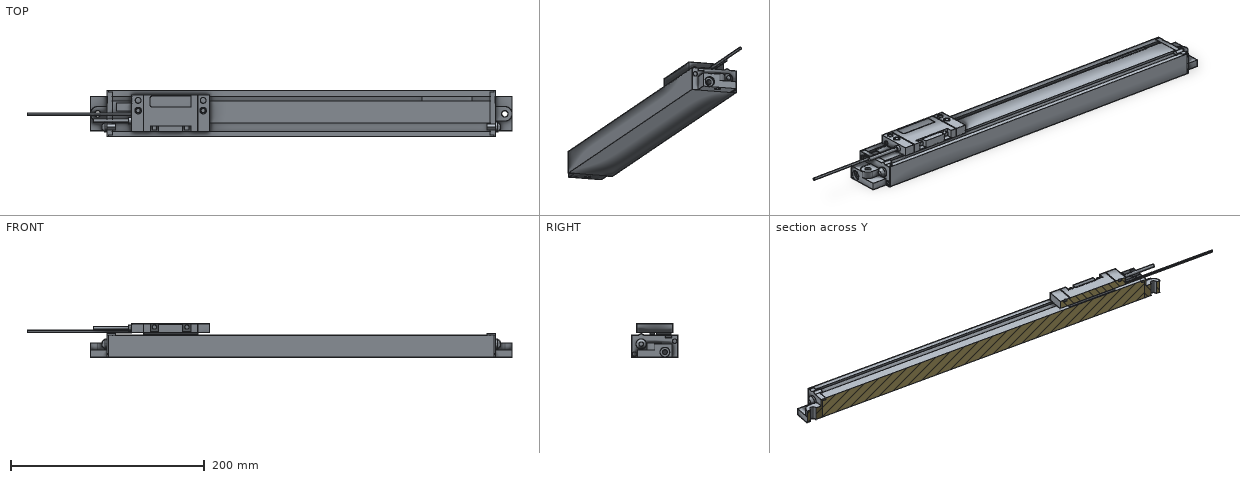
import cadquery as cq

total_length = 500.0
bracket_start = 65.0
cap_start = 82.0
cap_thickness = 1.5
cap_end = total_length - (cap_start - bracket_start)
rail_start = cap_start + cap_thickness
rail_end = cap_end - cap_thickness
mid_x = (bracket_start + total_length) / 2

rail_width = 47.9
rail_height = 23.0
rear_groove_y = (12.9, 17.3)
rear_groove_depth = 2.5
filler_x = (407.0, 458.5)
filler_depth = 1.0
front_groove_y = (-18.7, -9.8)
front_groove_depth = 2.5

lip_length = 4.2
lip_depth = 2.0
lip_width = 44.0
hook_y = (-17.0, -11.0)
hook_length = 9.0
hook_height = 1.7
knob_y = -14.0
knob_z = 13.8
knob_radius = 5.3
knob_length = 5.0
knob_chamfer = 3.0
cap_screw_radius = 2.3
cap_screw_depth = 1.0
cap_notch_y = (11.0, 17.3)
cap_notch_base = 20.0
cap_notch_depth = 0.5
cap_screws = [(20.5, 16.7), (-20.8, 3.5)]

bracket_y = (-18.0, 17.6)
plate_height = 7.5
block_height = 14.0
boss_height = 15.0
boss_y = -0.4
boss_radius = 7.5
bolt_hole_radius = 3.2
side_hole_y = 10.5
side_hole_z = 5.5
side_hole_radius = 2.5
side_seat_radius = 5.0
side_seat_depth = 3.0

slider_x = (107.5, 188.0)
slider_y = (-18.8, 18.8)
slider_base = 25.7
slider_top = 35.0
end_block_length = 12.2
seam_width = 0.4
skirt_x = (120.0, 176.0)
skirt_pads_y = [(-5.0, -0.2), (1.6, 17.0)]
skirt_base = 23.2
label_x = (126.5, 168.5)
label_y = (6.8, 17.8)
label_depth = 0.3
label_corner = 2.0
window_x = (127.0, 169.0)
window_depth = 6.0
window_floor = 26.8
window_block_x = (135.0, 160.0)
window_block_drop = 1.0
window_screw_radius = 2.2
window_screw_length = 4.0
window_screw_z = 31.3
fixing_inset = 6.7
small_screw_y = 13.5
small_screw_radius = 3.0
small_screw_depth = 1.0
large_screw_y = 3.0
large_screw_radius = 3.4
large_screw_depth = 2.5
large_screw_bore = 2.2

cable_radius = 1.25
cable_y = -0.6
cable_z = 26.9
sleeve_start = 68.0
sleeve_radius = 1.7
sleeve_y = -7.6
sleeve_z = 30.3
collar_length = 3.0
collar_radius = 3.2
plug_x = 92.0
plug_y = (2.3, 11.0)
plug_z = (25.2, 26.2)
socket_y = 12.6
socket_z = 28.2
socket_radius = 2.2
socket_depth = 1.0


def block(x, y, z):
    """A box given by its limits along each axis."""
    return cq.Workplane("XY").box(
        x[1] - x[0], y[1] - y[0], z[1] - z[0], centered=False
    ).translate((x[0], y[0], z[0]))


def rod_along_x(start, end, y, z, radius):
    """A round bar lying along X."""
    return cq.Workplane("YZ", origin=(start, y, z)).circle(radius).extrude(end - start)


def make_lip():
    """The shelf of the first end cap that is let into the top of the rail."""
    return block(
        (rail_start, rail_start + lip_length),
        (-lip_width / 2, lip_width / 2),
        (rail_height - lip_depth, rail_height),
    )


def make_hook():
    """The ridge on the first end cap that reaches over and into the front groove."""
    middle_y = sum(hook_y) / 2
    profile = [
        (hook_y[0], rail_height - front_groove_depth),
        (hook_y[1], rail_height - front_groove_depth),
        (hook_y[1], rail_height),
        (middle_y, rail_height + hook_height),
        (hook_y[0], rail_height),
    ]
    return cq.Workplane("YZ", origin=(cap_start, 0, 0)).polyline(profile).close().extrude(hook_length)


def at_far_end(first_end_shape):
    """The mirror image of a shape of the first end, at the other end of the rail."""
    return first_end_shape.mirror("YZ", (mid_x, 0, 0))


def make_rail():
    full_length = (rail_start, rail_end)
    rail = block(full_length, (-rail_width / 2, rail_width / 2), (0, rail_height))
    groove_floor = rail_height - rear_groove_depth
    rail = rail.cut(block(full_length, rear_groove_y, (groove_floor, rail_height)))
    rail = rail.union(block(filler_x, rear_groove_y, (groove_floor, rail_height - filler_depth)))
    rail = rail.cut(block(full_length, front_groove_y, (rail_height - front_groove_depth, rail_height)))
    for socket in (make_lip(), make_hook()):
        rail = rail.cut(socket).cut(at_far_end(socket))
    return rail


def make_bracket():
    depth = (bracket_start, cap_start)
    bracket = block(depth, bracket_y, (0, plate_height))
    bracket = bracket.union(block(depth, (boss_y, bracket_y[1]), (0, block_height)))
    boss_x = bracket_start + boss_radius
    boss = cq.Workplane("XY").center(boss_x, boss_y).circle(boss_radius).extrude(boss_height)
    boss = boss.union(
        block((boss_x, cap_start), (boss_y - boss_radius, boss_y + boss_radius), (0, boss_height))
    )
    bolt_hole = cq.Workplane("XY").center(boss_x, boss_y).circle(bolt_hole_radius).extrude(boss_height)
    side_hole = rod_along_x(bracket_start, cap_start, side_hole_y, side_hole_z, side_hole_radius)
    side_seat = rod_along_x(
        bracket_start, bracket_start + side_seat_depth, side_hole_y, side_hole_z, side_seat_radius
    )
    return bracket.union(boss).cut(bolt_hole).cut(side_hole).cut(side_seat)


def make_knob():
    knob = rod_along_x(cap_start - knob_length, cap_start, knob_y, knob_z, knob_radius)
    return knob.faces("<X").chamfer(knob_chamfer)


def make_end_cap():
    cap = block((cap_start, rail_start), (-rail_width / 2, rail_width / 2), (0, rail_height))
    cap = cap.union(make_lip()).union(make_hook())
    notch_x = (cap_start, cap_start + cap_notch_depth)
    cap = cap.cut(block(notch_x, cap_notch_y, (cap_notch_base, rail_height)))
    for y, z in cap_screws:
        cap = cap.cut(rod_along_x(cap_start, cap_start + cap_screw_depth, y, z, cap_screw_radius))
    return cap.union(make_bracket()).union(make_knob())


def cut_seams(slider):
    """Shallow grooves across the top and front where the end blocks meet the middle."""
    for x in (slider_x[0] + end_block_length, slider_x[1] - end_block_length):
        seam = (x - seam_width / 2, x + seam_width / 2)
        slider = slider.cut(block(seam, slider_y, (slider_top - seam_width, slider_top)))
        front = (slider_y[0], slider_y[0] + seam_width)
        slider = slider.cut(block(seam, front, (slider_base, slider_top)))
    return slider


def cut_label(slider):
    label = block(label_x, label_y, (slider_top - label_depth, slider_top))
    return slider.cut(label.edges("|Z and <X").fillet(label_corner))


def cut_window(slider):
    """Front recess with a raised block between two screw heads."""
    back = slider_y[0] + window_depth
    slider = slider.cut(block(window_x, (slider_y[0], back), (window_floor, slider_top)))
    slider = slider.union(
        block(window_block_x, (slider_y[0], back), (window_floor, slider_top - window_block_drop))
    )
    for x in (
        (window_x[0] + window_block_x[0]) / 2,
        (window_x[1] + window_block_x[1]) / 2,
    ):
        screw = cq.Workplane("XZ", origin=(x, back, window_screw_z)).circle(window_screw_radius)
        slider = slider.union(screw.extrude(window_screw_length))
    return slider


def cut_fixings(slider):
    """Screw seats in the top of both end blocks."""
    for x in (slider_x[0] + fixing_inset, slider_x[1] - fixing_inset):
        small = cq.Workplane("XY", origin=(x, small_screw_y, slider_top)).circle(small_screw_radius)
        slider = slider.cut(small.extrude(-small_screw_depth))
        large = cq.Workplane("XY", origin=(x, large_screw_y, slider_top)).circle(large_screw_radius)
        large = large.circle(large_screw_bore)
        slider = slider.cut(large.extrude(-large_screw_depth))
    return slider


def make_slider():
    slider = block(slider_x, slider_y, (slider_base, slider_top))
    for pad_y in skirt_pads_y:
        slider = slider.union(block(skirt_x, pad_y, (skirt_base, slider_base)))
    slider = cut_fixings(cut_window(cut_label(cut_seams(slider))))
    face_x = slider_x[0]
    slider = slider.cut(rod_along_x(face_x, face_x + socket_depth, socket_y, socket_z, socket_radius))
    slider = slider.union(rod_along_x(0, face_x, cable_y, cable_z, cable_radius))
    slider = slider.union(rod_along_x(sleeve_start, face_x, sleeve_y, sleeve_z, sleeve_radius))
    collar = rod_along_x(face_x - collar_length, face_x, sleeve_y, sleeve_z, collar_radius)
    return slider.union(collar).union(block((plug_x, face_x), plug_y, plug_z))


rail = make_rail()
near_cap = make_end_cap()
far_cap = at_far_end(near_cap)
slider = make_slider()

result = cq.Compound.makeCompound([rail.val(), near_cap.val(), far_cap.val(), slider.val()])